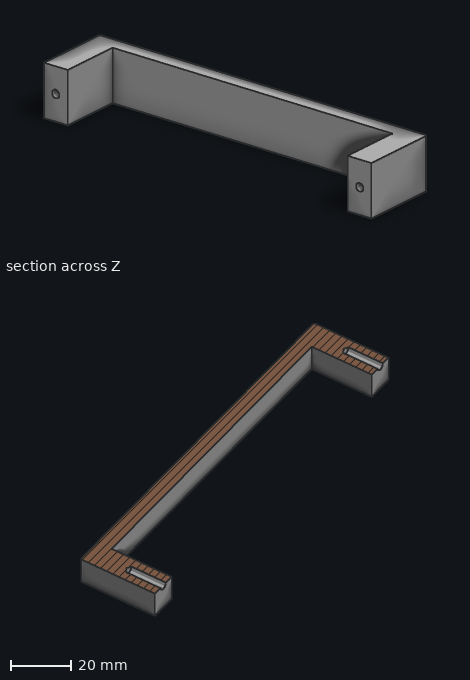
import cadquery as cq
import math

length = 138.0
depth = 30.0
height = 20.0

leg_width = 10.1
grip_thickness = 6.0
corner_radius = 1.0

hole_spacing = 128.0
hole_radius = 1.5
hole_depth = 13.8
drill_point_angle = 118.0
drill_point_length = hole_radius / math.tan(math.radians(drill_point_angle / 2))


def handle_body():
    """U-shaped bar with rounded outer corners."""
    block = cq.Workplane("XY").box(length, depth, height)
    block = block.edges("|Z and >Y").fillet(corner_radius)
    finger_gap = (
        cq.Workplane("XY")
        .box(length - 2 * leg_width, depth - grip_thickness, height)
        .translate((0, -grip_thickness / 2, 0))
    )
    return block.cut(finger_gap)


def mounting_hole(x):
    """Drilled hole running along +Y from the foot of a leg, centred at x."""
    foot = -depth / 2
    return (
        cq.Workplane("XY", origin=(x, foot, 0))
        .lineTo(hole_radius, 0)
        .lineTo(hole_radius, hole_depth)
        .lineTo(0, hole_depth + drill_point_length)
        .close()
        .revolve(360, (0, 0, 0), (0, 1, 0))
    )


result = handle_body()
for side in (-1, 1):
    result = result.cut(mounting_hole(side * hole_spacing / 2))